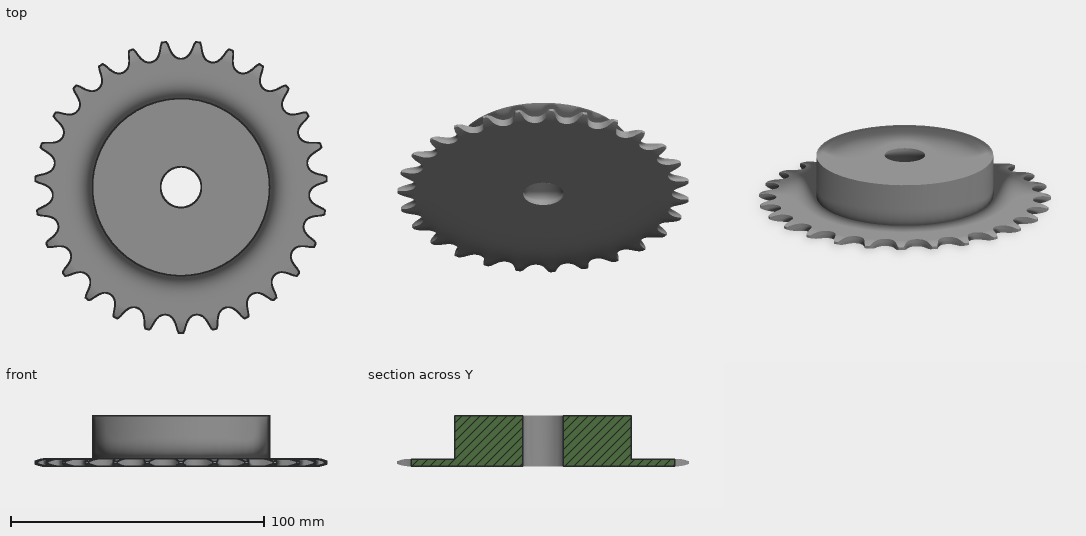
import cadquery as cq
import math

tooth_count = 27
chain_pitch = 12.7
roller_diameter = 7.75
tip_radius = 57.7
pitch_radius = chain_pitch / (2 * math.sin(math.pi / tooth_count))
tooth_angle = 360 / tooth_count
tip_clearance = 0.2

seat_play = 0.038
seat_radius = 0.5025 * roller_diameter + seat_play
seat_angle = 35 + 60 / tooth_count
working_angle = 18 - 56 / tooth_count
topping_angle = 17 - 64 / tooth_count
working_offset = 0.8 * roller_diameter
topping_offset = 1.4 * roller_diameter
working_radius = seat_radius + working_offset
straight_length = (
    topping_offset * math.sin(math.radians(topping_angle))
    - working_offset * math.sin(math.radians(working_angle))
)
topping_radius = (
    working_offset * math.cos(math.radians(working_angle))
    + topping_offset * math.cos(math.radians(topping_angle))
    - working_radius
)

plate_thickness = 3.0
side_round_radius = 13.0
side_round_length = 5.0
side_round_start = tip_radius - side_round_length

hub_diameter = 70.0
bore_diameter = 16.0
total_height = 20.0


def make_plate():
    """Toothless disc, revolved so that its rim thins along an arc on each face."""

    def round_drop(distance):
        return side_round_radius - math.sqrt(side_round_radius**2 - distance**2)

    half_length = side_round_length / 2
    middle = side_round_start + half_length
    tip_drop = round_drop(side_round_length)
    middle_drop = round_drop(half_length)
    return (
        cq.Workplane("XZ")
        .lineTo(side_round_start, 0)
        .threePointArc((middle, middle_drop), (tip_radius, tip_drop))
        .lineTo(tip_radius, plate_thickness - tip_drop)
        .threePointArc((middle, plate_thickness - middle_drop), (side_round_start, plate_thickness))
        .lineTo(0, plate_thickness)
        .close()
        .revolve(360, (0, 0), (0, 1))
    )


def along(origin, distance, angle):
    """Point at a distance and a direction (degrees from +X) from the origin."""
    direction = math.radians(angle)
    return (
        origin[0] + distance * math.cos(direction),
        origin[1] + distance * math.sin(direction),
    )


def mirrored(point):
    return (-point[0], point[1])


def make_gap():
    """Cutter for the gap centred on +Y: a roller seat between two mirrored flanks.

    Each flank is a hollow working arc, a short straight and a bulging topping arc, all tangent.
    """
    flank_angle = seat_angle - working_angle
    seat_centre = (0, pitch_radius)
    seat_bottom = (0, pitch_radius - seat_radius)
    seat_end = along(seat_centre, seat_radius, -seat_angle)

    working_centre = along(seat_centre, working_radius - seat_radius, 180 - seat_angle)
    working_middle = along(working_centre, working_radius, -seat_angle + working_angle / 2)
    working_end = along(working_centre, working_radius, -flank_angle)

    straight_end = along(working_end, straight_length, 90 - flank_angle)

    topping_centre = along(straight_end, topping_radius, -flank_angle)
    start_angle = 180 - flank_angle
    outer_y = tip_radius + tip_clearance
    end_angle = 180 - math.degrees(math.asin((outer_y - topping_centre[1]) / topping_radius))
    topping_middle = along(topping_centre, topping_radius, (start_angle + end_angle) / 2)
    topping_end = along(topping_centre, topping_radius, end_angle)

    return (
        cq.Workplane("XY")
        .moveTo(*mirrored(topping_end))
        .threePointArc(mirrored(topping_middle), mirrored(straight_end))
        .lineTo(*mirrored(working_end))
        .threePointArc(mirrored(working_middle), mirrored(seat_end))
        .threePointArc(seat_bottom, seat_end)
        .threePointArc(working_middle, working_end)
        .lineTo(*straight_end)
        .threePointArc(topping_middle, topping_end)
        .close()
        .extrude(plate_thickness)
    )


def cut_teeth(plate):
    gap = make_gap()
    for index in range(tooth_count):
        plate = plate.cut(gap.rotate((0, 0, 0), (0, 0, 1), index * tooth_angle))
    return plate


hub = cq.Workplane("XY").circle(hub_diameter / 2).extrude(total_height)
bore = cq.Workplane("XY").circle(bore_diameter / 2).extrude(total_height)
result = cut_teeth(make_plate()).union(hub).cut(bore)